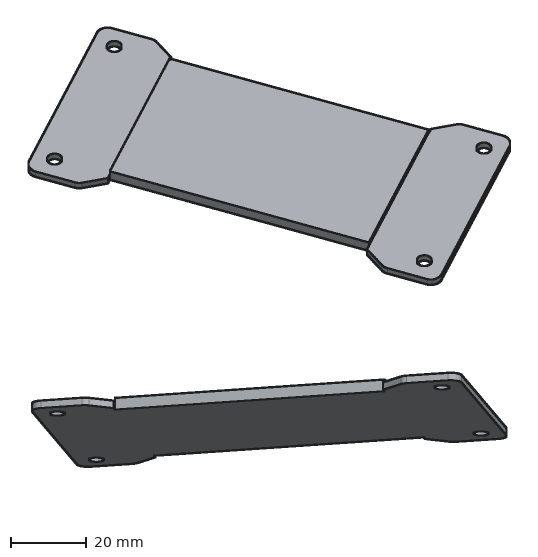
import cadquery as cq

length = 116.7
width = 56.4
height = 3.3

panel_length = 73.3
panel_width = 44.3

plate_thickness = 2.1
plate_inner_width = 47.3
taper_length = 6.5
corner_radius = 3.0
taper_radius = 3.0

hole_diameter = 4.0
hole_inset = 6.1

plate_inner_x = panel_length / 2
taper_start_x = plate_inner_x + taper_length


def end_plate():
    """Plate at the +X end, tapering towards the panel."""
    plate = (
        cq.Workplane("XY")
        .polyline([
            (plate_inner_x, -plate_inner_width / 2),
            (taper_start_x, -width / 2),
            (length / 2, -width / 2),
            (length / 2, width / 2),
            (taper_start_x, width / 2),
            (plate_inner_x, plate_inner_width / 2),
        ])
        .close()
        .extrude(plate_thickness)
    )
    plate = plate.edges("|Z and >X").fillet(corner_radius)
    for side in (-1, 1):
        taper_corner = cq.selectors.NearestToPointSelector(
            (taper_start_x, side * width / 2, plate_thickness / 2)
        )
        plate = plate.edges(taper_corner).fillet(taper_radius)
    return plate


panel = cq.Workplane("XY").box(panel_length, panel_width, height, centered=(True, True, False))
right_plate = end_plate()
left_plate = right_plate.mirror("YZ")

holes = (
    cq.Workplane("XY")
    .rect(length - 2 * hole_inset, width - 2 * hole_inset, forConstruction=True)
    .vertices()
    .circle(hole_diameter / 2)
    .extrude(plate_thickness)
)

result = panel.union(right_plate).union(left_plate).cut(holes)